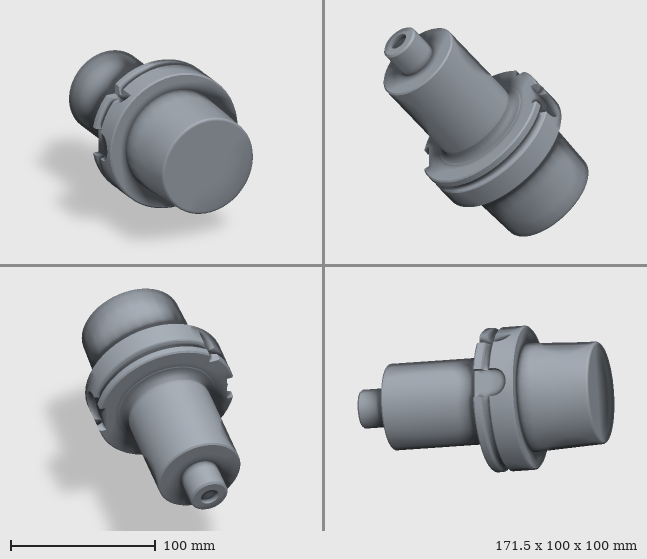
import cadquery as cq
import math

overall_length = 171.5
body_start = 21.5
body_end = 85.4
neck_start = 86.5
flange_start = 92.6
flange_end = 121.5

nose_radius = 27.0 / 2
nose_chamfer = 1.4
socket_diameter = 13.0
socket_depth = 4.0
body_radius = 60 / 2
body_chamfer = 1.0
neck_radius = 59.5 / 2

pad_height = 0.3
pad_radius = 35.8
pad_chamfer = 0.7
neck_fillet = 5.0

flange_radius = 100.0 / 2
flange_chamfer = 1.0
shank_start_radius = 37.9
shank_end_radius = 35.5
shank_rounding = 1.9

groove_center = 101.4
groove_width = 7.0
groove_depth = 4.1
groove_floor_width = 2.7
groove_lip = 0.7
groove_fillet = 1.2

slot_end = 116.6
cutter_radius = 10.0
slot_floor = 44.0
front_slot_width = 2 * cutter_radius
rear_slot_width = 22.3
notch_inner_y = 31.4
notch_floor_z = 31.3


def turned_blank():
    """Revolve the nose, body, neck, flange and shank about the X axis."""
    pad_face = flange_start - pad_height
    fillet_start = pad_face - neck_fillet
    fillet_end_radius = neck_radius + neck_fillet
    fillet_middle = (
        fillet_start + neck_fillet * math.sin(math.pi / 4),
        fillet_end_radius - neck_fillet * math.cos(math.pi / 4),
    )
    profile = (
        cq.Workplane("XY")
        .moveTo(0, 0)
        .lineTo(0, nose_radius - nose_chamfer)
        .lineTo(nose_chamfer, nose_radius)
        .lineTo(body_start, nose_radius)
        .lineTo(body_start, body_radius - body_chamfer)
        .lineTo(body_start + body_chamfer, body_radius)
        .lineTo(body_end, body_radius)
        .lineTo(neck_start, neck_radius)
        .lineTo(fillet_start, neck_radius)
        .threePointArc(fillet_middle, (pad_face, fillet_end_radius))
        .lineTo(pad_face, pad_radius - pad_chamfer)
        .lineTo(flange_start, pad_radius)
        .lineTo(flange_start, flange_radius - flange_chamfer)
        .lineTo(flange_start + flange_chamfer, flange_radius)
        .lineTo(flange_end - flange_chamfer, flange_radius)
        .lineTo(flange_end, flange_radius - flange_chamfer)
        .lineTo(flange_end, shank_start_radius)
        .lineTo(overall_length, shank_end_radius)
        .lineTo(overall_length, 0)
        .close()
    )
    blank = profile.revolve(360, (0, 0, 0), (1, 0, 0))
    return blank.faces(">X").edges().fillet(shank_rounding)


def nose_socket():
    """Shallow blind hole in the nose tip."""
    return cq.Workplane("YZ").circle(socket_diameter / 2).extrude(socket_depth)


def gripper_groove():
    """Ring with a V section, bevelled lips and a rounded floor."""
    half_mouth = groove_width / 2
    half_throat = half_mouth - groove_lip
    half_floor = groove_floor_width / 2
    lip_radius = flange_radius - groove_lip
    floor_radius = flange_radius - groove_depth
    clear_radius = flange_radius + groove_lip
    outline = [
        (groove_center - half_floor, floor_radius),
        (groove_center - half_throat, lip_radius),
        (groove_center - half_mouth, flange_radius),
        (groove_center - half_mouth, clear_radius),
        (groove_center + half_mouth, clear_radius),
        (groove_center + half_mouth, flange_radius),
        (groove_center + half_throat, lip_radius),
        (groove_center + half_floor, floor_radius),
    ]
    ring = cq.Workplane("XY").polyline(outline).close().revolve(360, (0, 0, 0), (1, 0, 0))
    return ring.edges(cq.selectors.RadiusNthSelector(0)).fillet(groove_fillet)


def flange_slot(width, side):
    """Round-ended drive slot; side is -1 for the -Y slot and +1 for the +Y slot."""
    length = slot_end - flange_start
    depth = flange_radius - slot_floor
    if width > 2 * cutter_radius:
        bar = cq.Workplane("XY").box(length, depth, width, centered=(False, False, True))
        bar = bar.edges(">X and |Y").fillet(cutter_radius)
    else:
        end_center = length - cutter_radius
        bar = (
            cq.Workplane("XZ")
            .moveTo(0, -cutter_radius)
            .lineTo(end_center, -cutter_radius)
            .threePointArc((length, 0), (end_center, cutter_radius))
            .lineTo(0, cutter_radius)
            .close()
            .extrude(-depth)
        )
    if side < 0:
        bar = bar.mirror("XZ")
    return bar.translate((flange_start, side * slot_floor, 0))


def index_notch():
    """Corner notch on the -Y, +Z side whose floor curves up at its end."""
    length = slot_end - flange_start
    depth = flange_radius - notch_floor_z
    width = flange_radius - notch_inner_y
    block = cq.Workplane("XY").box(length, width, depth, centered=False)
    block = block.edges(">X and <Z").fillet(cutter_radius)
    return block.translate((flange_start, -flange_radius, notch_floor_z))


result = (
    turned_blank()
    .cut(nose_socket())
    .cut(gripper_groove())
    .cut(flange_slot(front_slot_width, -1))
    .cut(flange_slot(rear_slot_width, 1))
    .cut(index_notch())
)